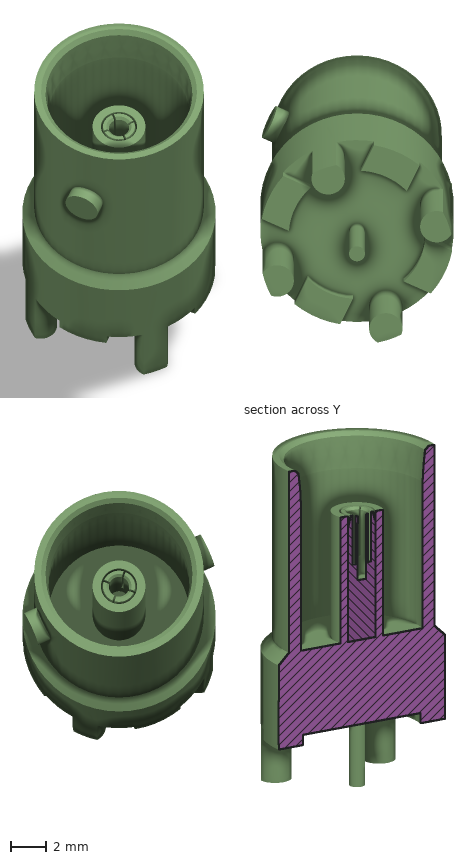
import cadquery as cq

TOTAL_HEIGHT = 19.78
FOOT_BOTTOM = 3.18
UNDERSIDE = 3.8
SHOULDER_BOTTOM = 8.25
SHOULDER_TOP = 8.9

BASE_RADIUS = 5.5
BARREL_RADIUS = 4.83

MOUTH_RADIUS = 4.43
TAPER_RADIUS = 4.17
BORE_RADIUS = 4.02
LEAD_IN_DEPTH = 0.24
TAPER_END_DEPTH = 2.14
BORE_FLOOR = SHOULDER_TOP

SLEEVE_RADIUS = 1.5
SLEEVE_TOP = 16.45
SLEEVE_BORE_RADIUS = 1.03

LUG_RADIUS = 0.99
LUG_REACH = 5.509
LUG_HEIGHT = 15.53

FOOT_WIDTH = 2.87
LEG_RADIUS = 0.95
LEG_CIRCLE_RADIUS = BARREL_RADIUS
FOOT_INNER_RADIUS = LEG_CIRCLE_RADIUS - LEG_RADIUS

CONTACT_RADIUS = SLEEVE_BORE_RADIUS
CONTACT_TIP_RADIUS = 0.9
CONTACT_TAPER_LENGTH = 0.6
CONTACT_TOP = SLEEVE_TOP
CONTACT_MOUTH_RADIUS = 0.71
CONTACT_BORE_RADIUS = 0.57
CONTACT_LEAD_IN = CONTACT_MOUTH_RADIUS - CONTACT_BORE_RADIUS
CONTACT_BORE_DEPTH = 3.95
SLOT_WIDTH = 0.12
SLOT_LENGTH = 3 * CONTACT_RADIUS
SLOT_DEPTH = 2.97
TAIL_RADIUS = 0.45


def cylinder(radius, bottom, top):
    return cq.Workplane("XY").workplane(offset=bottom).circle(radius).extrude(top - bottom)


def make_shell():
    """Base, conical shoulder and barrel with its stepped bore, turned about Z."""
    lead_in_end = TOTAL_HEIGHT - LEAD_IN_DEPTH
    taper_end = TOTAL_HEIGHT - TAPER_END_DEPTH
    profile = [
        (0, UNDERSIDE),
        (BASE_RADIUS, UNDERSIDE),
        (BASE_RADIUS, SHOULDER_BOTTOM),
        (BARREL_RADIUS, SHOULDER_TOP),
        (BARREL_RADIUS, TOTAL_HEIGHT),
        (MOUTH_RADIUS, TOTAL_HEIGHT),
        (TAPER_RADIUS, lead_in_end),
        (BORE_RADIUS, taper_end),
        (BORE_RADIUS, BORE_FLOOR),
        (0, BORE_FLOOR),
    ]
    return cq.Workplane("XZ").polyline(profile).close().revolve(360, (0, 0), (0, 1))


def make_feet():
    """Four arc-shaped feet, one on each axis direction."""
    ring = cylinder(BASE_RADIUS, FOOT_BOTTOM, UNDERSIDE)
    ring = ring.cut(cylinder(FOOT_INNER_RADIUS, FOOT_BOTTOM, UNDERSIDE))
    span = 2 * BASE_RADIUS
    height = UNDERSIDE - FOOT_BOTTOM
    base_plane = cq.Workplane("XY").workplane(offset=FOOT_BOTTOM)
    cross = base_plane.rect(span, FOOT_WIDTH).extrude(height)
    cross = cross.union(base_plane.rect(FOOT_WIDTH, span).extrude(height))
    return ring.intersect(cross)


def make_legs():
    """Four round legs on the diagonals, trimmed flush with the base."""
    legs = (
        cq.Workplane("XY")
        .polarArray(LEG_CIRCLE_RADIUS, 45, 360, 4)
        .circle(LEG_RADIUS)
        .extrude(SHOULDER_BOTTOM)
    )
    return legs.intersect(cylinder(BASE_RADIUS, 0, SHOULDER_BOTTOM))


def make_lugs():
    """Two opposed bayonet lugs along Y, kept clear of the bore."""
    lugs = (
        cq.Workplane("XZ")
        .center(0, LUG_HEIGHT)
        .circle(LUG_RADIUS)
        .extrude(LUG_REACH, both=True)
    )
    return lugs.cut(cylinder(MOUTH_RADIUS, 0, TOTAL_HEIGHT))


def make_housing():
    housing = make_shell().union(cylinder(SLEEVE_RADIUS, UNDERSIDE, SLEEVE_TOP))
    housing = housing.union(make_feet()).union(make_legs()).union(make_lugs())
    housing = housing.cut(cylinder(SLEEVE_BORE_RADIUS, BORE_FLOOR, SLEEVE_TOP))
    return housing.cut(cylinder(TAIL_RADIUS, UNDERSIDE, BORE_FLOOR))


def make_contact():
    """Turned socket with a tapered tip and a solder tail; two crossed slots split it into four fingers."""
    profile = [
        (0, 0),
        (TAIL_RADIUS, 0),
        (TAIL_RADIUS, BORE_FLOOR),
        (CONTACT_RADIUS, BORE_FLOOR),
        (CONTACT_RADIUS, CONTACT_TOP - CONTACT_TAPER_LENGTH),
        (CONTACT_TIP_RADIUS, CONTACT_TOP),
        (CONTACT_MOUTH_RADIUS, CONTACT_TOP),
        (CONTACT_BORE_RADIUS, CONTACT_TOP - CONTACT_LEAD_IN),
        (CONTACT_BORE_RADIUS, CONTACT_TOP - CONTACT_BORE_DEPTH),
        (0, CONTACT_TOP - CONTACT_BORE_DEPTH),
    ]
    contact = cq.Workplane("XZ").polyline(profile).close().revolve(360, (0, 0), (0, 1))
    for angle in (45, 135):
        slot_blade = (
            cq.Workplane("XY")
            .workplane(offset=CONTACT_TOP - SLOT_DEPTH)
            .rect(SLOT_LENGTH, SLOT_WIDTH)
            .extrude(SLOT_DEPTH)
            .rotate((0, 0, 0), (0, 0, 1), angle)
        )
        contact = contact.cut(slot_blade)
    return contact


housing = make_housing()
contact = make_contact()
result = cq.Compound.makeCompound([housing.val(), contact.val()])